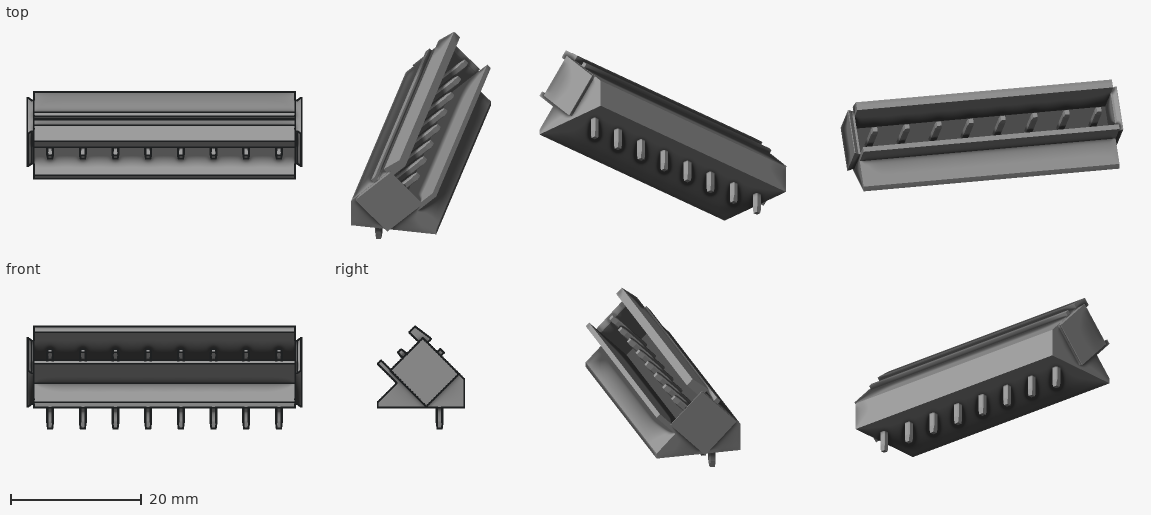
import cadquery as cq
import math


pin_count = 8
pin_pitch = 5.0
pin_width = 1.0
pin_edge_chamfer = 0.15
pin_taper_length = 1.05
pin_end_width = 0.7
tail_length = 3.2
bend_height = 2.56
contact_length = 8.69

tilt = math.radians(45)
body_length = pin_count * pin_pitch
base_back = 3.8
base_front = -9.5
front_edge_height = 0.8
rim = 9.64
socket_depth = 8.4
floor = rim - socket_depth
socket_half_width = 3.025
lip_thickness = 0.77
back_wall_thickness = 0.91
back_face = socket_half_width + back_wall_thickness
lip_face = -socket_half_width - lip_thickness
front_step = 5.47

hook_start = 6.53
hook_flat_length = 0.32
hook_height = 0.77
rim_height = 0.385

rib_start = 3.66
rib_end = 4.48
rib_height = 0.68
rib_foot = 0.14

plate_thickness = 1.0
plate_inner_flat = 0.33
plate_outer_flat = 0.12
plate_bottom = -0.25
plate_top = 7.55
plate_width = 7.06
plate_lower_face = -3.16
plate_flare = plate_thickness - plate_inner_flat - plate_outer_flat


def tilted(along, across):
    """Y and Z of a point given in the tilted directions of the socket."""
    y = across * math.sin(tilt) - along * math.cos(tilt)
    z = bend_height + across * math.cos(tilt) + along * math.sin(tilt)
    return (y, z)


def bar(points):
    """Profile in the YZ plane, extruded over the length of the body."""
    return cq.Workplane("YZ").polyline(points).close().extrude(body_length / 2, both=True)


def make_shell():
    back_edge_height = bend_height + back_face / math.sin(tilt) - base_back
    outline = [
        (base_back, 0),
        (base_back, back_edge_height),
        tilted(hook_start, back_face),
        tilted(hook_start, back_face + hook_height),
        tilted(hook_start + hook_flat_length, back_face + hook_height),
        tilted(rim, back_face + rim_height),
        tilted(rim, socket_half_width),
        tilted(floor, socket_half_width),
        tilted(floor, -socket_half_width),
        tilted(rim, -socket_half_width),
        tilted(rim, lip_face),
        tilted(front_step, lip_face),
        (base_front, front_edge_height),
        (base_front, 0),
    ]
    return bar(outline)


def make_rib():
    return bar([
        tilted(rib_start, back_face),
        tilted(rib_start, back_face + rib_height),
        tilted(rib_end, back_face + rib_height),
        tilted(rib_end, back_face + rib_foot),
        tilted(rib_end + rib_foot, back_face),
    ])


def make_left_end_plate():
    """Plate that closes the -X end of the socket and flares outward along the tilted direction."""
    inner = body_length / 2
    flare_start = inner + plate_inner_flat
    flare_end = flare_start + plate_flare
    outer = inner + plate_thickness
    plane = cq.Plane(
        origin=(0, *tilted(0, plate_lower_face)),
        xDir=(-1, 0, 0),
        normal=(0, math.sin(tilt), math.cos(tilt)),
    )
    narrow_bottom = plate_bottom + plate_flare
    narrow_top = plate_top - plate_flare
    outline = [
        (inner, narrow_bottom),
        (flare_start, narrow_bottom),
        (flare_end, plate_bottom),
        (outer, plate_bottom),
        (outer, plate_top),
        (flare_end, plate_top),
        (flare_start, narrow_top),
        (inner, narrow_top),
    ]
    return cq.Workplane(plane).polyline(outline).close().extrude(plate_width)


def pin_section():
    return cq.Sketch().rect(pin_width, pin_width).vertices().chamfer(pin_edge_chamfer)


def make_pin_end(plane):
    """End of a pin: the chamfered bar narrowed on its four flats to a small square."""
    taper = math.degrees(math.atan((pin_width - pin_end_width) / 2 / pin_taper_length))
    bar_end = cq.Workplane(plane).placeSketch(pin_section()).extrude(pin_taper_length)
    narrowing = cq.Workplane(plane).rect(pin_width, pin_width).extrude(pin_taper_length, taper=taper)
    return bar_end.intersect(narrowing)


def make_pin(x):
    """Square pin with chamfered edges: a vertical tail, a bend and a tilted contact."""
    bend = (0, bend_height)
    tail_shoulder = (0, pin_taper_length - tail_length)
    contact_shoulder = tilted(contact_length - pin_taper_length, 0)
    tail_plane = cq.Plane(origin=(0, *tail_shoulder), xDir=(1, 0, 0), normal=(0, 0, -1))
    contact_plane = cq.Plane(
        origin=(0, *contact_shoulder),
        xDir=(1, 0, 0),
        normal=(0, -math.cos(tilt), math.sin(tilt)),
    )
    path = cq.Workplane("YZ").polyline([tail_shoulder, bend, contact_shoulder])
    shank = cq.Workplane(tail_plane).placeSketch(pin_section()).sweep(path, transition="right")
    pin = shank.union(make_pin_end(tail_plane)).union(make_pin_end(contact_plane))
    return pin.translate((x, 0, 0))


first_pin_x = -(pin_count - 1) * pin_pitch / 2
pins = [make_pin(first_pin_x + i * pin_pitch) for i in range(pin_count)]

left_end_plate = make_left_end_plate()
right_end_plate = left_end_plate.mirror("YZ")
housing = make_shell().union(make_rib()).union(left_end_plate).union(right_end_plate)
for pin in pins:
    housing = housing.cut(pin)

result = cq.Compound.makeCompound([housing.val(), *[pin.val() for pin in pins]])